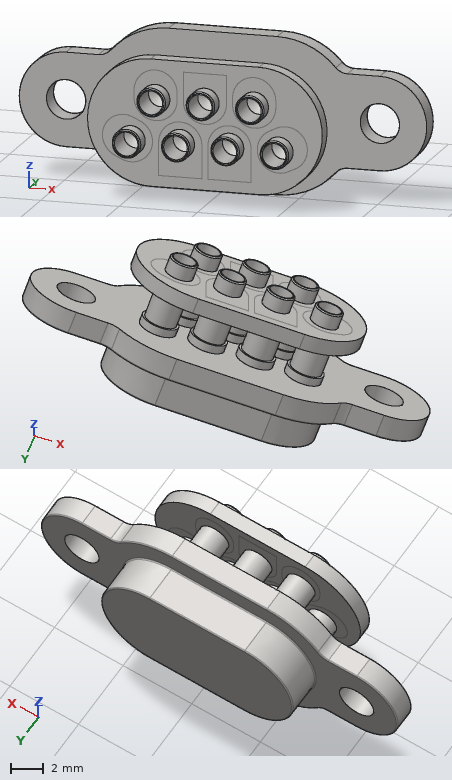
import cadquery as cq
import math

TAIL_LENGTH = 1.01
PLATE_THICKNESS = 1.01
SHAFT_LENGTH = 2.25
COLLAR_LENGTH = 0.55
FLANGE_THICKNESS = 1.5
BOSS_HEIGHT = 2.5

OVERALL_LENGTH = 26.0
EAR_RADIUS = 3.0
EAR_CENTER_X = OVERALL_LENGTH / 2 - EAR_RADIUS
EAR_HOLE_DIAMETER = 2.5
END_CENTER_X = 3.45
FLANGE_HEIGHT = 10.0
FLANGE_END_RADIUS = FLANGE_HEIGHT / 2
NECK_RADIUS = 1.0
BOSS_END_RADIUS = 3.54
DRAFT_ANGLE = 0.5
REAR_EDGE_RADIUS = 0.08
BOSS_ROOT_RADIUS = 0.08

PLATE_END_RADIUS = 4.03

COLLAR_RADIUS = 1.2
SHAFT_RADIUS = 1.05
TAIL_RADIUS = 0.9
TAIL_CHAMFER = 0.08
BORE_RADIUS = 0.75
BORE_DEPTH = 2.03
BORE_TIP_ANGLE = 118.0
PIN_PITCH = 3.15
ROW_SPACING = PIN_PITCH * math.sin(math.radians(60))
UPPER_ROW_Z = 1.53
LOWER_ROW_Z = UPPER_ROW_Z - ROW_SPACING

KEY_RADIUS = 1.38
UPPER_KEY_REACH = 1.82
LOWER_KEY_REACH = 2.1
UPPER_OVAL_SHIFT = (0.0, UPPER_KEY_REACH - KEY_RADIUS)
LOWER_OVAL_SHIFT = (0.45, 0.2)

PLATE_REAR_Y = -COLLAR_LENGTH - SHAFT_LENGTH
PLATE_FRONT_Y = PLATE_REAR_Y - PLATE_THICKNESS
TAIL_TIP_Y = PLATE_FRONT_Y - TAIL_LENGTH

UPPER_PINS_X = [PIN_PITCH * i for i in (-1, 0, 1)]
LOWER_PINS_X = [PIN_PITCH * i for i in (-1.5, -0.5, 0.5, 1.5)]
PIN_CENTERS = [(x, UPPER_ROW_Z) for x in UPPER_PINS_X] + [(x, LOWER_ROW_Z) for x in LOWER_PINS_X]


def xz_sketch(y):
    """Workplane at the given Y; local axes are X and Z, and extrusion runs toward +Y."""
    return cq.Workplane(cq.Plane(origin=(0, y, 0), xDir=(1, 0, 0), normal=(0, -1, 0)))


def extrude_back(sketch, length, draft=0.0):
    return sketch.extrude(-length, taper=draft)


def oval(y, start, end, radius):
    """Closed outline of a circle swept from start to end."""
    dx = end[0] - start[0]
    dz = end[1] - start[1]
    length = math.hypot(dx, dz)
    along = (dx / length * radius, dz / length * radius)
    side = (-along[1], along[0])
    return (
        xz_sketch(y)
        .moveTo(start[0] + side[0], start[1] + side[1])
        .threePointArc((start[0] - along[0], start[1] - along[1]), (start[0] - side[0], start[1] - side[1]))
        .lineTo(end[0] - side[0], end[1] - side[1])
        .threePointArc((end[0] + along[0], end[1] + along[1]), (end[0] + side[0], end[1] + side[1]))
        .close()
    )


def long_oval(y, radius):
    return oval(y, (-END_CENTER_X, 0), (END_CENTER_X, 0), radius)


def flange_outline():
    """Outline in which each arc is tangent to its neighbours."""
    neck_z = EAR_RADIUS + NECK_RADIUS
    center_distance = FLANGE_END_RADIUS + NECK_RADIUS
    neck_x = END_CENTER_X + math.sqrt(center_distance**2 - neck_z**2)
    end_angle = math.atan2(neck_z, neck_x - END_CENTER_X)

    def on_end(angle):
        return END_CENTER_X + FLANGE_END_RADIUS * math.cos(angle), FLANGE_END_RADIUS * math.sin(angle)

    def on_neck(angle):
        return neck_x + NECK_RADIUS * math.cos(angle), neck_z + NECK_RADIUS * math.sin(angle)

    def mirrored(point, sign_x, sign_z):
        return sign_x * point[0], sign_z * point[1]

    end_start = on_end(math.pi / 2)
    end_middle = on_end((end_angle + math.pi / 2) / 2)
    end_finish = on_end(end_angle)
    neck_middle = on_neck((end_angle - math.pi - math.pi / 2) / 2)
    neck_finish = (neck_x, EAR_RADIUS)
    ear_start = (EAR_CENTER_X, EAR_RADIUS)
    ear_tip = (OVERALL_LENGTH / 2, 0)

    outline = xz_sketch(0).moveTo(*mirrored(end_start, -1, 1))
    for side in (1, -1):
        outline = (
            outline
            .lineTo(*mirrored(end_start, side, side))
            .threePointArc(mirrored(end_middle, side, side), mirrored(end_finish, side, side))
            .threePointArc(mirrored(neck_middle, side, side), mirrored(neck_finish, side, side))
            .lineTo(*mirrored(ear_start, side, side))
            .threePointArc(mirrored(ear_tip, side, side), mirrored(ear_start, side, -side))
            .lineTo(*mirrored(neck_finish, side, -side))
            .threePointArc(mirrored(neck_middle, side, -side), mirrored(end_finish, side, -side))
            .threePointArc(mirrored(end_middle, side, -side), mirrored(end_start, side, -side))
        )
    return outline.close()


def make_housing():
    """Drafted flange with mounting holes and a drafted boss on its rear face."""
    flange = extrude_back(flange_outline(), FLANGE_THICKNESS, DRAFT_ANGLE)
    flange = flange.faces(">Y").edges().fillet(REAR_EDGE_RADIUS)
    boss = extrude_back(long_oval(FLANGE_THICKNESS, BOSS_END_RADIUS), BOSS_HEIGHT, DRAFT_ANGLE)
    boss = boss.faces(">Y").edges().fillet(REAR_EDGE_RADIUS)
    boss_root = cq.selectors.BoxSelector(
        (-EAR_CENTER_X, FLANGE_THICKNESS - REAR_EDGE_RADIUS / 2, -BOSS_END_RADIUS - REAR_EDGE_RADIUS),
        (EAR_CENTER_X, FLANGE_THICKNESS + REAR_EDGE_RADIUS / 2, BOSS_END_RADIUS + REAR_EDGE_RADIUS),
        boundingbox=True,
    )
    body = flange.union(boss).edges(boss_root).fillet(BOSS_ROOT_RADIUS)
    ear_centers = [(-EAR_CENTER_X, 0), (EAR_CENTER_X, 0)]
    holes = xz_sketch(0).pushPoints(ear_centers).circle(EAR_HOLE_DIAMETER / 2)
    return body.cut(extrude_back(holes, FLANGE_THICKNESS))


def d_key(x, z, flat_z):
    """Block with a half-round end around the pin and a flat end at flat_z."""
    toward_round = math.copysign(KEY_RADIUS, z - flat_z)
    outline = (
        xz_sketch(PLATE_FRONT_Y)
        .moveTo(x - KEY_RADIUS, flat_z)
        .lineTo(x - KEY_RADIUS, z)
        .threePointArc((x, z + toward_round), (x + KEY_RADIUS, z))
        .lineTo(x + KEY_RADIUS, flat_z)
        .close()
    )
    return extrude_back(outline, PLATE_THICKNESS)


def oval_key(x, z, shift):
    """Block with an oval outline that reaches outward from the pin."""
    far_end = (x + math.copysign(shift[0], x), z + shift[1])
    return extrude_back(oval(PLATE_FRONT_Y, (x, z), far_end, KEY_RADIUS), PLATE_THICKNESS)


def make_keys():
    keys = [d_key(UPPER_PINS_X[1], UPPER_ROW_Z, UPPER_ROW_Z + UPPER_KEY_REACH)]
    for x in LOWER_PINS_X[1:3]:
        keys.append(d_key(x, LOWER_ROW_Z, LOWER_ROW_Z - LOWER_KEY_REACH))
    for x in (UPPER_PINS_X[0], UPPER_PINS_X[-1]):
        keys.append(oval_key(x, UPPER_ROW_Z, UPPER_OVAL_SHIFT))
    for x in (LOWER_PINS_X[0], LOWER_PINS_X[-1]):
        keys.append(oval_key(x, LOWER_ROW_Z, LOWER_OVAL_SHIFT))
    return keys


def make_plate():
    """One solid plate; the key outlines stay as edges on its faces, so the unions are not cleaned."""
    plate = extrude_back(long_oval(PLATE_FRONT_Y, PLATE_END_RADIUS), PLATE_THICKNESS)
    keys = make_keys()
    for key in keys:
        plate = plate.cut(key, clean=False)
    for key in keys:
        plate = plate.union(key, clean=False)
    tail_holes = xz_sketch(PLATE_FRONT_Y).pushPoints(PIN_CENTERS).circle(TAIL_RADIUS)
    return plate.cut(extrude_back(tail_holes, PLATE_THICKNESS), clean=False)


def make_pin(x, z):
    """Turned pin: collar on the flange, shaft, and a bored tail whose shoulder rests on the plate."""
    bore_end_y = TAIL_TIP_Y + BORE_DEPTH
    bore_apex_y = bore_end_y + BORE_RADIUS / math.tan(math.radians(BORE_TIP_ANGLE / 2))
    profile = [
        (0, 0),
        (COLLAR_RADIUS, 0),
        (COLLAR_RADIUS, -COLLAR_LENGTH),
        (SHAFT_RADIUS, -COLLAR_LENGTH),
        (SHAFT_RADIUS, PLATE_REAR_Y),
        (TAIL_RADIUS, PLATE_REAR_Y),
        (TAIL_RADIUS, TAIL_TIP_Y + TAIL_CHAMFER),
        (TAIL_RADIUS - TAIL_CHAMFER, TAIL_TIP_Y),
        (BORE_RADIUS, TAIL_TIP_Y),
        (BORE_RADIUS, bore_end_y),
        (0, bore_apex_y),
    ]
    pin = cq.Workplane("XY").polyline(profile).close().revolve(360, (0, 0, 0), (0, 1, 0))
    return pin.translate((x, 0, z))


housing = make_housing()
plate = make_plate()
pins = [make_pin(x, z) for x, z in PIN_CENTERS]

result = cq.Compound.makeCompound([housing.val(), plate.val(), *[pin.val() for pin in pins]])